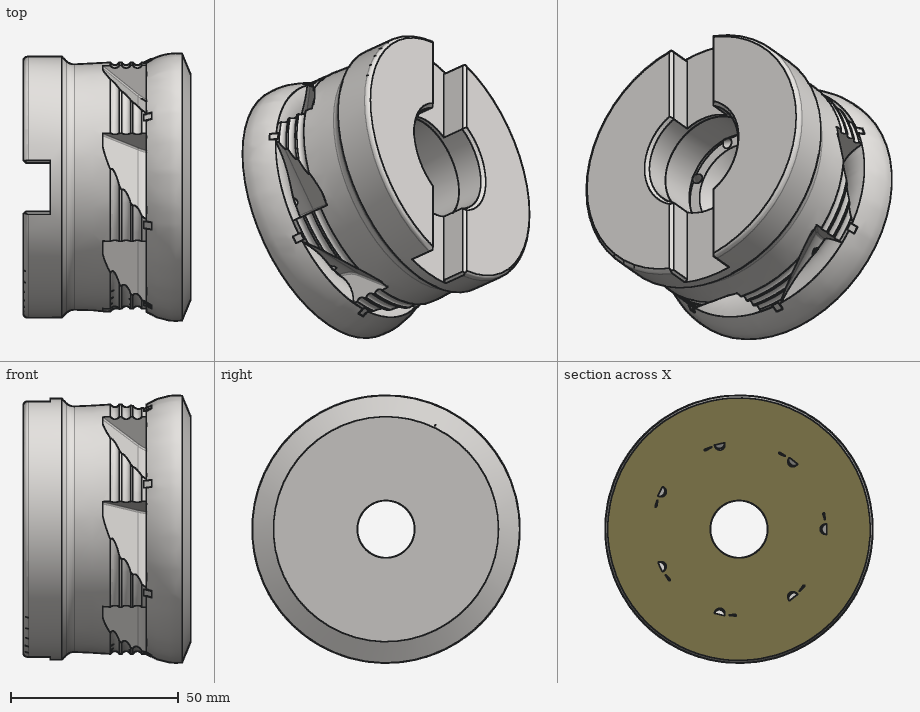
import cadquery as cq
import math

length = 50.0
collar_radius = 78.0 / 2
collar_end = 11.5
rim_radius = 38.0
rim_length = 1.5
shoulder_drop = 1.35
neck_start = 15.3
neck_radius = 36.7
neck_end = 26.05
neck_end_radius = 37.25

groove_count = 3
groove_width = 2.6
groove_depth = 0.8
groove_pitch = 3.35

lip_start = 36.8
lip_radius = 39.95
lip_crest = 45.7
lip_arc_radius = 16.0
lip_corner = 47.4
front_face_radius = 33.6

slot_width = 14.4
slot_depth = 8.1
slot_bevel = 0.9

bore_entry_radius = 32.1 / 2
bore_entry_depth = 9.35
bore_radius = 32.0 / 2
bore_depth = 21.7
relief_radius = 17.1
relief_width = 2.1
bore_floor = bore_depth + relief_width
bore_bevel = 1.0
cone_radius = 13.7
through_radius = 17.0 / 2
cone_depth = 3.0

pocket_count = 7
pocket_pitch = 360 / pocket_count
coolant_radius = 3.0 / 2
coolant_run = 17.4
coolant_lead_in = 1.1
coolant_tilt = 30.0

pocket_start = 23.7
pocket_start_height = 36.45
floor_bend = 34.1
pocket_end = 41.9
first_wall_angle = pocket_pitch / 4
pocket_turn = 4.2
floor_slope = 39.0
corner_radius = 0.5
lip_back_middle = (39.3, 28.1)

tooth_angle = -45.0
tooth_start = 36.0
tooth_end = 38.4
tooth_width = 2.2
tooth_radius = 38.4
tooth_root = 36.0


def lip_arc_height(x):
    """Radius of the rounded lip flank at axial position x."""
    drop = math.sqrt(lip_arc_radius**2 - (x - lip_crest) ** 2)
    return lip_radius - lip_arc_radius + drop


def around_axis(shape, angle):
    """Turn a shape about X; angle 0 faces -Y and positive angles go towards +Z."""
    return shape.rotate((0, 0, 0), (1, 0, 0), -angle)


def make_body():
    """Solid of revolution with ring grooves and lip, the rim still square."""
    shoulder_end = collar_end + shoulder_drop
    shoulder_radius = collar_radius - shoulder_drop
    profile = (
        cq.Workplane("XY")
        .moveTo(0, 0)
        .lineTo(0, collar_radius)
        .lineTo(collar_end, collar_radius)
        .lineTo(shoulder_end, shoulder_radius)
        .tangentArcPoint((neck_start, neck_radius), relative=False)
        .lineTo(neck_end, neck_end_radius)
    )
    for index in range(groove_count):
        start = neck_end + index * groove_pitch
        middle = (start + groove_width / 2, neck_end_radius - groove_depth)
        profile = profile.threePointArc(middle, (start + groove_width, neck_end_radius))
        profile = profile.lineTo(start + groove_pitch, neck_end_radius)
    flank_end = (lip_corner, lip_arc_height(lip_corner))
    profile = (
        profile.lineTo(lip_start, neck_end_radius)
        .lineTo(lip_start, lip_arc_height(lip_start))
        .threePointArc((lip_crest, lip_radius), flank_end)
        .lineTo(length, front_face_radius)
        .lineTo(length, 0)
        .close()
    )
    return profile.revolve(360, (0, 0, 0), (1, 0, 0))


def cut_slot(body):
    """Cut the slot along Z and bevel the front and outer edges of its walls."""
    slot = cq.Workplane("XY").box(2 * slot_depth, slot_width, 3 * collar_radius)
    body = body.cut(slot)
    wall_edges = cq.selectors.BoxSelector(
        (-0.8, -slot_width, -lip_radius),
        (0.9 * slot_depth, slot_width, lip_radius),
    )
    return body.edges(wall_edges).chamfer(slot_bevel)


def make_rim_cutter():
    """Ring of material outside the rounded rim of the mounting face."""
    rim_rise = collar_radius - rim_radius
    rim_arc_radius = (rim_length**2 + rim_rise**2) / (2 * rim_rise)
    half_sweep = math.atan2(rim_rise, rim_length)
    rim_middle = (
        rim_length - rim_arc_radius * math.sin(half_sweep),
        collar_radius - rim_arc_radius * (1 - math.cos(half_sweep)),
    )
    return (
        cq.Workplane("XY")
        .moveTo(0, rim_radius)
        .threePointArc(rim_middle, (rim_length, collar_radius))
        .lineTo(rim_length, lip_radius)
        .lineTo(0, lip_radius)
        .close()
        .revolve(360, (0, 0, 0), (1, 0, 0))
    )


def make_bore():
    """Stepped bore with a bevelled mouth and a conical step to the through hole."""
    return (
        cq.Workplane("XY")
        .moveTo(0, 0)
        .lineTo(0, bore_entry_radius + bore_bevel)
        .lineTo(bore_bevel, bore_entry_radius)
        .lineTo(bore_entry_depth, bore_entry_radius)
        .lineTo(bore_entry_depth, bore_radius)
        .lineTo(bore_depth, bore_radius)
        .lineTo(bore_depth, relief_radius)
        .lineTo(bore_floor, relief_radius)
        .lineTo(bore_floor, cone_radius)
        .lineTo(bore_floor + cone_depth, through_radius)
        .lineTo(length, through_radius)
        .lineTo(length, 0)
        .close()
        .revolve(360, (0, 0, 0), (1, 0, 0))
    )


def make_coolant_hole():
    """Leaning hole that starts inside the undercut and breaks out in a pocket."""
    lean = math.radians(coolant_tilt)
    direction = cq.Vector(math.cos(lean), -math.sin(lean), 0)
    mouth = cq.Vector(bore_floor, -bore_radius, 0)
    start = mouth - direction * coolant_lead_in
    hole_length = coolant_lead_in + coolant_run / math.cos(lean)
    return cq.Workplane(cq.Solid.makeCylinder(coolant_radius, hole_length, start, direction))


def make_pocket_limit(end_height):
    """Ring that a pocket may occupy, bounded ahead by the bulging back of the lip."""
    outside = 2 * lip_radius
    return (
        cq.Workplane("XY")
        .moveTo(0, 0)
        .lineTo(0, outside)
        .lineTo(lip_start, outside)
        .lineTo(lip_start, neck_end_radius)
        .threePointArc(lip_back_middle, (pocket_end, end_height))
        .lineTo(pocket_end, 0)
        .close()
        .revolve(360, (0, 0, 0), (1, 0, 0))
    )


def make_pocket():
    """Open-sided cut facing -Y: flat slope curving to level, with a side wall square to it."""
    turn = math.radians(pocket_turn)
    slope = math.radians(floor_slope)
    wall_z = -neck_end_radius * math.sin(turn)
    bend_height = pocket_start_height - (floor_bend - pocket_start) * math.tan(slope)
    floor_arc_radius = (pocket_end - floor_bend) / math.sin(slope)
    end_height = bend_height - floor_arc_radius * (1 - math.cos(slope))
    outside = 2 * lip_radius
    cutter = (
        cq.Workplane("XY", origin=(0, 0, wall_z))
        .moveTo(pocket_start, -pocket_start_height)
        .lineTo(floor_bend, -bend_height)
        .tangentArcPoint((pocket_end, -end_height), relative=False)
        .lineTo(pocket_end, -outside)
        .lineTo(pocket_start, -outside)
        .close()
        .extrude(-lip_radius)
    )
    slope_middle = (
        (pocket_start + floor_bend) / 2,
        -(pocket_start_height + bend_height) / 2,
        wall_z,
    )
    corner = cq.selectors.NearestToPointSelector(slope_middle)
    cutter = cutter.edges(corner).fillet(corner_radius)
    turned = around_axis(cutter, first_wall_angle + pocket_turn)
    return turned.intersect(make_pocket_limit(end_height))


def make_tooth():
    """Ramp rising along the lip flank, facing -Y before it is turned into place."""
    tooth = (
        cq.Workplane("XY")
        .moveTo(tooth_start, -neck_end_radius)
        .lineTo(tooth_end, -tooth_radius)
        .lineTo(tooth_end, -tooth_root)
        .lineTo(tooth_start, -tooth_root)
        .close()
        .extrude(tooth_width)
    )
    return around_axis(tooth, first_wall_angle + tooth_angle)


result = cut_slot(make_body()).cut(make_rim_cutter()).cut(make_bore())
pocket = make_pocket()
coolant_hole = make_coolant_hole()
tooth = make_tooth()
for index in range(pocket_count):
    angle = index * pocket_pitch
    result = result.cut(around_axis(pocket, angle))
    result = result.cut(around_axis(coolant_hole, angle))
    result = result.union(around_axis(tooth, angle))